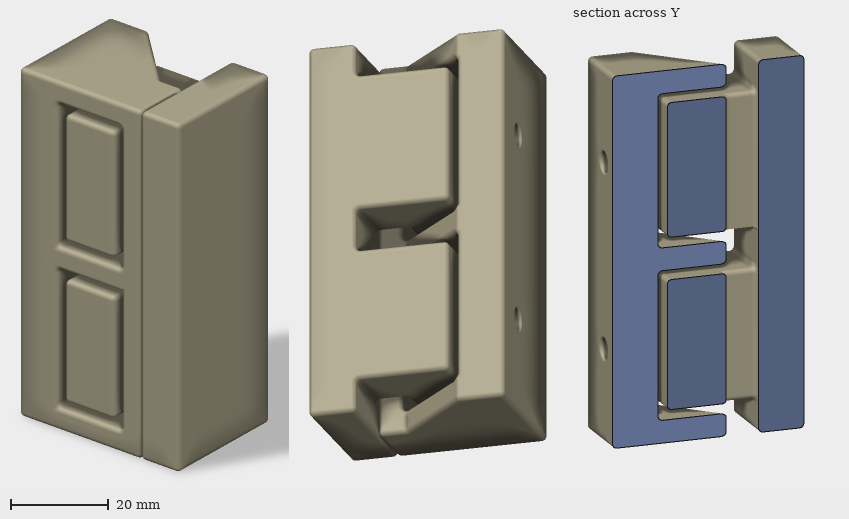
import cadquery as cq

height = 80
depth = 30.0

clearance = 2.0
round_radius = clearance / 2

base_width = 32
land_width = 10.0
ledge_depth = 14.0
slope_run = depth - ledge_depth
slope_mid_x = land_width + slope_run / 2
slope_mid_y = depth - slope_run / 2

frame_flat = 4
frame_width = frame_flat + round_radius
window_left = 10.0
window_right = base_width - frame_width
window_mid_x = (window_left + window_right) / 2
lower_window_height = 32
lower_window_bottom = frame_width
lower_window_top = lower_window_bottom + lower_window_height
upper_window_bottom = lower_window_top + frame_width
upper_window_top = height - frame_width

hole_diameter = 4.5
hole_y = 20
hole_levels = (height / 4, height * 3 / 4)
hole_rim_radius = round_radius / 2

plate_thickness = 10.0
finger_left = window_left + clearance
finger_right = window_right - clearance
arm_front = ledge_depth + clearance
lower_finger_bottom = lower_window_bottom + clearance
lower_finger_top = lower_window_top - clearance
upper_finger_bottom = upper_window_bottom + clearance
upper_finger_top = upper_window_top - clearance


def near(x, y, z):
    """Select the edge whose centre is nearest to a point."""
    return cq.selectors.NearestToPointSelector((x, y, z))


def base_blank():
    """Block with a sloped rear corner and a ledge, every edge rounded."""
    return (
        cq.Workplane("XY")
        .polyline([
            (0, 0),
            (base_width, 0),
            (base_width, ledge_depth),
            (land_width + slope_run, ledge_depth),
            (land_width, depth),
            (0, depth),
        ])
        .close()
        .extrude(height)
        .edges()
        .fillet(round_radius)
    )


def window_cutter(bottom, top, rounded_corners):
    """Prism from front to back; rounded_corners lists its rounded (x, z) corners."""
    cutter = (
        cq.Workplane("XY")
        .box(window_right - window_left, depth, top - bottom, centered=False)
        .translate((window_left, 0, bottom))
    )
    for x, z in rounded_corners:
        cutter = cutter.edges(near(x, depth / 2, z)).fillet(round_radius)
    return cutter


def cut_window(block, bottom, top, rounded_corners):
    """Cut one window and round its rims and its lower left corner."""
    block = block.cut(window_cutter(bottom, top, rounded_corners))

    front_top = near(window_mid_x, 0, top)
    front_bottom = near(window_mid_x, 0, bottom)
    block = block.edges(front_top + front_bottom).fillet(round_radius)

    block = block.edges(near(window_left, depth / 2, bottom)).fillet(round_radius)

    return block.edges(near(slope_mid_x, slope_mid_y, top)).fillet(round_radius)


def drill_screw_hole(block, level):
    """Drill a hole from the left side into a window and round its mouth."""
    drill = (
        cq.Workplane("YZ")
        .center(hole_y, level)
        .circle(hole_diameter / 2)
        .extrude(finger_left)
    )
    mouth = near(0, hole_y, level)
    return block.cut(drill).edges(mouth).fillet(hole_rim_radius)


def build_base():
    """Base block with two windows and two screw holes."""
    block = base_blank()
    block = cut_window(
        block,
        lower_window_bottom,
        lower_window_top,
        [(window_left, lower_window_top), (window_right, lower_window_bottom)],
    )
    block = cut_window(
        block,
        upper_window_bottom,
        upper_window_top,
        [
            (window_left, upper_window_top),
            (window_right, upper_window_top),
            (window_right, upper_window_bottom),
        ],
    )
    for level in hole_levels:
        block = drill_screw_hole(block, level)
    return block


def finger(bottom, top):
    """L-shaped finger: an arm from the plate and a hook that reaches the front."""
    return (
        cq.Workplane("XY", origin=(0, 0, bottom))
        .polyline([
            (finger_left, 0),
            (finger_right, 0),
            (finger_right, arm_front),
            (base_width, arm_front),
            (base_width, depth),
            (finger_left, depth),
        ])
        .close()
        .extrude(top - bottom)
    )


def build_finger_plate():
    """Plate with two fingers, rounded except for two edges under the arms."""
    plate = (
        cq.Workplane("XY")
        .box(plate_thickness, depth, height, centered=False)
        .translate((base_width, 0, 0))
        .union(finger(lower_finger_bottom, lower_finger_top))
        .union(finger(upper_finger_bottom, upper_finger_top))
    )
    lower_finger_mid = (lower_finger_bottom + lower_finger_top) / 2
    inner_corner = near(finger_right, arm_front, lower_finger_mid)
    arm_mid_x = (finger_right + base_width) / 2
    arm_edge = near(arm_mid_x, arm_front, upper_finger_bottom)
    every_edge = cq.Selector()
    return plate.edges(every_edge - (inner_corner + arm_edge)).fillet(round_radius)


base = build_base().solids()
finger_plate = build_finger_plate().solids()

result = cq.Compound.makeCompound([base.val(), finger_plate.val()])